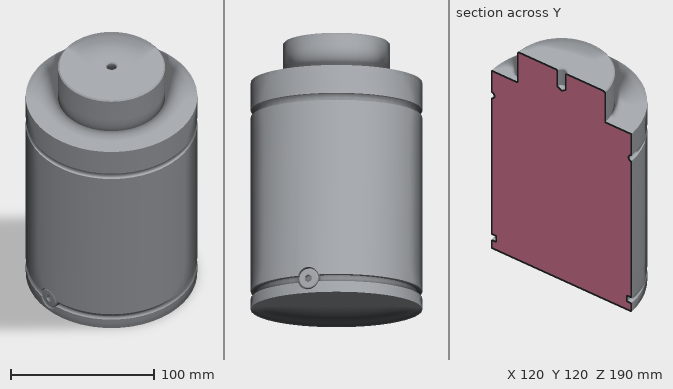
import cadquery as cq
import math

height = 190.0
body_diameter = 120.0
body_radius = body_diameter / 2
shoulder_z = 162.0

rod_diameter = 75.0
rod_chamfer = 1.0
rod_hole_diameter = 6.8
rod_hole_mouth_diameter = 8.5
rod_hole_depth = 15.2
drill_point_angle = 118.0

upper_groove_z = 139.6
upper_groove_radius = 2.5
lower_groove_bottom_z = 7.8
lower_groove_width = 5.0
lower_groove_depth = 3.8

plug_z = 10.5
pocket_diameter = 16.0
plug_diameter = 14.0
plug_face_diameter = 13.0
plug_chamfer = (plug_diameter - plug_face_diameter) / 2
plug_face_inset = 0.5
pocket_depth = 4.5
socket_across_flats = 5.0
socket_depth = 2.8


def make_cylinder():
    """Body and rod, with the rod's end edge chamfered."""
    body = cq.Workplane("XY").circle(body_radius).extrude(shoulder_z)
    rod = (
        cq.Workplane("XY")
        .circle(rod_diameter / 2)
        .extrude(height)
        .faces(">Z")
        .chamfer(rod_chamfer)
    )
    return body.union(rod)


def make_upper_groove():
    """Ring with a round section, centred on the body surface."""
    return (
        cq.Workplane("XZ")
        .center(body_radius, upper_groove_z)
        .circle(upper_groove_radius)
        .revolve(360, (-body_radius, 0), (-body_radius, 1))
    )


def make_lower_groove():
    """Ring with a rectangular section."""
    return (
        cq.Workplane("XY", origin=(0, 0, lower_groove_bottom_z))
        .circle(body_radius)
        .circle(body_radius - lower_groove_depth)
        .extrude(lower_groove_width)
    )


def make_rod_hole():
    """Blind hole with a 45 degree mouth and a conical drill point."""
    hole_radius = rod_hole_diameter / 2
    mouth_radius = rod_hole_mouth_diameter / 2
    mouth_depth = mouth_radius - hole_radius
    point_length = hole_radius / math.tan(math.radians(drill_point_angle / 2))
    return (
        cq.Workplane("XZ")
        .moveTo(0, height)
        .lineTo(mouth_radius, height)
        .lineTo(hole_radius, height - mouth_depth)
        .lineTo(hole_radius, height - rod_hole_depth)
        .lineTo(0, height - rod_hole_depth - point_length)
        .close()
        .revolve(360, (0, 0), (0, 1))
    )


plug_face_y = plug_face_inset - body_radius


def make_plug_pocket():
    """Round recess that leaves a narrow gap around the plug."""
    return (
        cq.Workplane("XZ", origin=(0, -body_radius, plug_z))
        .circle(pocket_diameter / 2)
        .extrude(-pocket_depth)
    )


def make_plug():
    """Chamfered plug with a hexagon socket, two corners pointing along Z."""
    socket_corner_diameter = socket_across_flats / math.cos(math.pi / 6)
    plug = (
        cq.Workplane("XZ", origin=(0, plug_face_y, plug_z))
        .circle(plug_diameter / 2)
        .extrude(plug_face_inset - pocket_depth)
        .faces("<Y")
        .chamfer(plug_chamfer)
    )
    socket = (
        cq.Workplane("XZ", origin=(0, plug_face_y, plug_z))
        .transformed(rotate=(0, 0, 90))
        .polygon(6, socket_corner_diameter)
        .extrude(-socket_depth)
    )
    return plug.cut(socket)


result = (
    make_cylinder()
    .cut(make_upper_groove())
    .cut(make_lower_groove())
    .cut(make_rod_hole())
    .cut(make_plug_pocket())
    .union(make_plug())
)